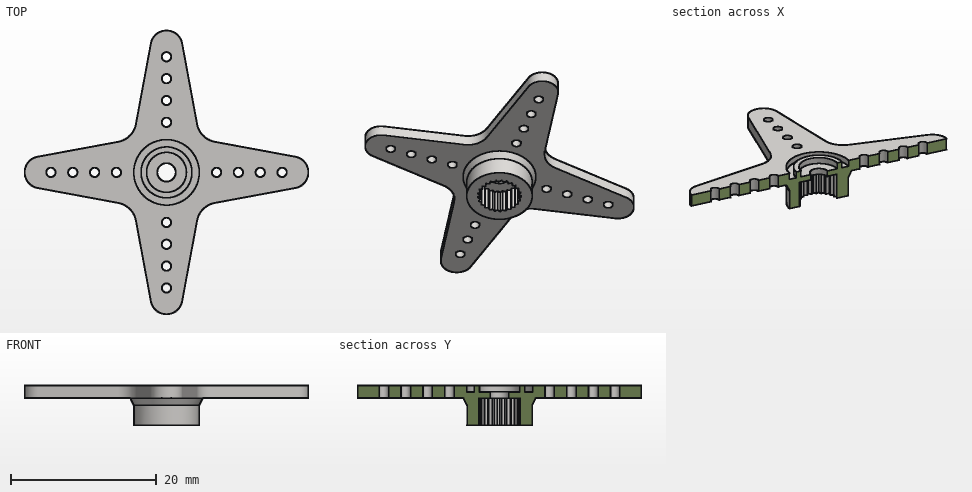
import cadquery as cq
import math

SPAN = 39.0
TOTAL_HEIGHT = 5.5
PLATE_THICKNESS = 1.75
ARM_COUNT = 4

TIP_RADIUS = 2.2
ARM_TAPER_ANGLE = 10.5
INNER_CORNER_RADIUS = 3.0

ARM_HOLE_DIAMETER = 1.25
ARM_HOLE_COUNT = 4
ARM_HOLE_PITCH = 3.0
FIRST_ARM_HOLE_RADIUS = 6.875

HUB_DIAMETER = 9.0
HUB_FLARE_DIAMETER = 10.0
HUB_FLARE_HEIGHT = 1.0

GROOVE_OUTER_DIAMETER = 9.0
GROOVE_INNER_DIAMETER = 7.0
RECESS_DIAMETER = 5.5
RECESS_DEPTH = 0.9
GROOVE_DEPTH = RECESS_DEPTH

SCREW_HOLE_DIAMETER = 2.5
SCREW_WEB_THICKNESS = 0.9
SPLINE_TOOTH_COUNT = 25
SPLINE_ROOT_RADIUS = 3.0
SPLINE_CREST_RADIUS = 2.7
FIRST_SPLINE_ROOT_ANGLE = 90.0

PLATE_BOTTOM = TOTAL_HEIGHT - PLATE_THICKNESS
SOCKET_DEPTH = TOTAL_HEIGHT - RECESS_DEPTH - SCREW_WEB_THICKNESS


def polar_point(radius, angle):
    """Point at a radius and an angle in degrees around the part axis."""
    return (radius * math.cos(math.radians(angle)), radius * math.sin(math.radians(angle)))


def make_arm():
    """One tapered arm along +X, widening from its round tip to the part axis."""
    taper = math.radians(ARM_TAPER_ANGLE)
    tip_x = SPAN / 2
    tip_center_x = tip_x - TIP_RADIUS
    tangent_x = tip_center_x + TIP_RADIUS * math.sin(taper)
    tangent_y = TIP_RADIUS * math.cos(taper)
    corner = (tangent_y + tangent_x * math.tan(taper)) / (1 + math.tan(taper))
    return (
        cq.Workplane("XY", origin=(0, 0, PLATE_BOTTOM))
        .moveTo(0, 0)
        .lineTo(corner, -corner)
        .lineTo(tangent_x, -tangent_y)
        .threePointArc((tip_x, 0), (tangent_x, tangent_y))
        .lineTo(corner, corner)
        .close()
        .extrude(PLATE_THICKNESS)
    )


def make_plate():
    """Cross-shaped plate with rounded corners between the arms."""
    arm = make_arm()
    plate = arm
    for index in range(1, ARM_COUNT):
        plate = plate.union(arm.rotate((0, 0, 0), (0, 0, 1), index * 360 / ARM_COUNT))
    plate = plate.clean()
    corner_reach = SPAN / 4
    near_axis = cq.selectors.BoxSelector(
        (-corner_reach, -corner_reach, 0),
        (corner_reach, corner_reach, TOTAL_HEIGHT),
    )
    return plate.edges("|Z").edges(near_axis).fillet(INNER_CORNER_RADIUS)


def make_hub():
    """Round hub that flares out just below the plate."""
    hub_radius = HUB_DIAMETER / 2
    flare_radius = HUB_FLARE_DIAMETER / 2
    return (
        cq.Workplane("XZ")
        .moveTo(0, 0)
        .lineTo(hub_radius, 0)
        .lineTo(hub_radius, PLATE_BOTTOM - HUB_FLARE_HEIGHT)
        .lineTo(flare_radius, PLATE_BOTTOM)
        .lineTo(0, PLATE_BOTTOM)
        .close()
        .revolve(360, (0, 0, 0), (0, 1, 0))
    )


def make_arm_holes():
    """Cutters for the row of linkage holes on every arm."""
    points = []
    for arm in range(ARM_COUNT):
        for hole in range(ARM_HOLE_COUNT):
            radius = FIRST_ARM_HOLE_RADIUS + hole * ARM_HOLE_PITCH
            points.append(polar_point(radius, arm * 360 / ARM_COUNT))
    return cq.Workplane("XY").pushPoints(points).circle(ARM_HOLE_DIAMETER / 2).extrude(TOTAL_HEIGHT)


def make_top_recesses():
    """Cutters for the ring groove and the screw-head recess."""
    top = cq.Workplane("XY", origin=(0, 0, TOTAL_HEIGHT))
    groove = top.circle(GROOVE_OUTER_DIAMETER / 2).circle(GROOVE_INNER_DIAMETER / 2).extrude(-GROOVE_DEPTH)
    recess = top.circle(RECESS_DIAMETER / 2).extrude(-RECESS_DEPTH)
    return groove.union(recess)


def make_spline_socket():
    """Cutter for the toothed shaft socket, open at the bottom of the hub."""
    pitch_angle = 360 / SPLINE_TOOTH_COUNT
    points = []
    for tooth in range(SPLINE_TOOTH_COUNT):
        root_angle = FIRST_SPLINE_ROOT_ANGLE + tooth * pitch_angle
        points.append(polar_point(SPLINE_ROOT_RADIUS, root_angle))
        points.append(polar_point(SPLINE_CREST_RADIUS, root_angle + pitch_angle / 2))
    return cq.Workplane("XY").polyline(points).close().extrude(SOCKET_DEPTH)


def make_screw_hole():
    """Cutter for the centre hole through the web above the socket."""
    return cq.Workplane("XY").circle(SCREW_HOLE_DIAMETER / 2).extrude(TOTAL_HEIGHT)


result = (
    make_plate()
    .union(make_hub())
    .cut(make_arm_holes())
    .cut(make_top_recesses())
    .cut(make_spline_socket())
    .cut(make_screw_hole())
)